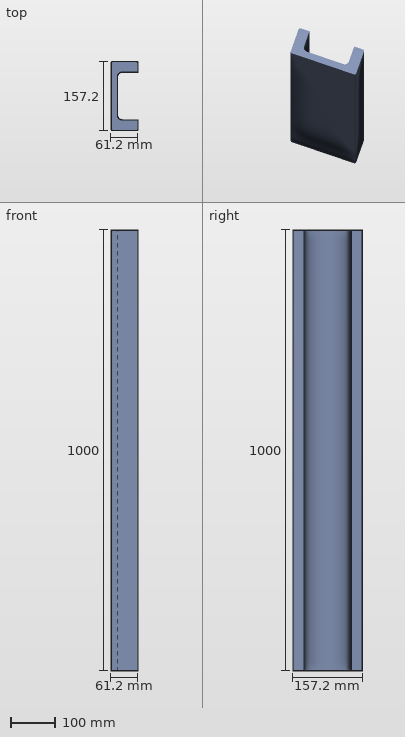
import cadquery as cq

flange_width = 61.2
channel_depth = 157.2
length = 1000.0

web_thickness = 14.7
flange_thickness = 24.8
outer_corner_radius = 3.9
inner_corner_radius = 10.0

half_width = flange_width / 2
half_depth = channel_depth / 2
web_inner_x = web_thickness - half_width
flange_inner_y = half_depth - flange_thickness


def channel_blank():
    """Sharp-cornered channel, centred on the origin and open towards +X."""
    return (
        cq.Workplane("XY")
        .workplane(offset=-length / 2)
        .moveTo(-half_width, -half_depth)
        .lineTo(half_width, -half_depth)
        .lineTo(half_width, -flange_inner_y)
        .lineTo(web_inner_x, -flange_inner_y)
        .lineTo(web_inner_x, flange_inner_y)
        .lineTo(half_width, flange_inner_y)
        .lineTo(half_width, half_depth)
        .lineTo(-half_width, half_depth)
        .close()
        .extrude(length)
    )


def lengthwise_edges_at(x, y):
    """Selector for the two lengthwise edges at (x, y) and (x, -y)."""
    return cq.selectors.SumSelector(
        cq.NearestToPointSelector((x, y, 0)),
        cq.NearestToPointSelector((x, -y, 0)),
    )


def round_outer_corners(channel):
    """Fillet the four outer corners along the whole length."""
    for x in (-half_width, half_width):
        channel = channel.edges(lengthwise_edges_at(x, half_depth)).fillet(outer_corner_radius)
    return channel


def round_inner_corners(channel):
    """Fillet the two corners between web and flanges."""
    return channel.edges(lengthwise_edges_at(web_inner_x, flange_inner_y)).fillet(inner_corner_radius)


result = round_inner_corners(round_outer_corners(channel_blank()))